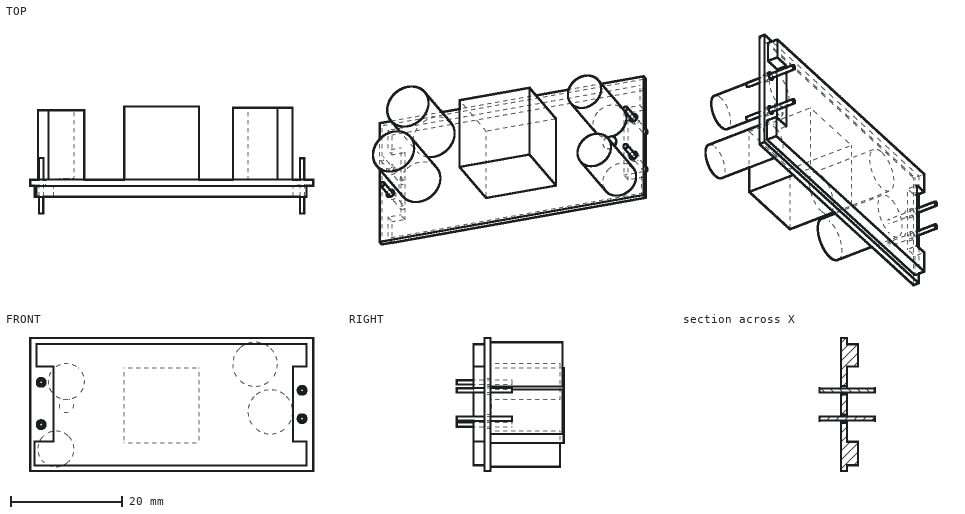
import cadquery as cq

board_length = 51.0
board_height = 24.0
board_thickness = 1.1

block_depth = 2.0
block_top = 10.85
block_bottom = -10.95
block_right = 24.3
block_left_upper = -24.4
block_left_lower = -24.7
notch_top = 6.85
notch_bottom = -6.7
notch_left = -21.3
notch_right = 21.85

transformer_side = 13.5
transformer_height = 13.15
transformer_x = -1.85
transformer_z = -0.2

small_diameter = 6.5
small_height = 12.5
large_diameter = 8.0
large_height = 12.95
capacitors = [
    (-18.95, 4.15, small_diameter, small_height),
    (-20.85, -8.0, small_diameter, small_height),
    (15.0, 7.25, large_diameter, large_height),
    (17.75, -1.35, large_diameter, large_height),
]

pad_diameter = 2.55
pad_height = 0.15
pad_x = -18.95
pad_z = -0.2

pin_diameter = 0.8
pin_length = 10.0
pin_protrusion = 3.0
pin_reach = block_depth + pin_protrusion
pin_hole_diameter = 1.5
pin_places = [(-23.5, 4.0), (-23.5, -3.6), (23.45, 2.55), (23.45, -2.55)]


def cylinder_along_y(x, z, diameter, y_start, length):
    """Round bar that runs from y_start toward +Y."""
    axis_start = cq.Vector(x, y_start, z)
    return cq.Workplane(cq.Solid.makeCylinder(diameter / 2, length, axis_start, cq.Vector(0, 1, 0)))


def make_board():
    """Plain plate from Y = 0 to its back face."""
    return cq.Workplane("XY").box(
        board_length, board_thickness, board_height, centered=(True, False, True)
    )


def make_block():
    """Potting block with both end notches, extruded toward -Y."""
    outline = [
        (block_left_upper, block_top),
        (block_right, block_top),
        (block_right, notch_top),
        (notch_right, notch_top),
        (notch_right, notch_bottom),
        (block_right, notch_bottom),
        (block_right, block_bottom),
        (block_left_lower, block_bottom),
        (block_left_lower, notch_bottom),
        (notch_left, notch_bottom),
        (notch_left, notch_top),
        (block_left_upper, notch_top),
    ]
    return cq.Workplane("XZ").polyline(outline).close().extrude(block_depth)


def make_transformer():
    """Square box standing on the back of the board."""
    return (
        cq.Workplane("XY")
        .box(transformer_side, transformer_height, transformer_side, centered=(True, False, True))
        .translate((transformer_x, board_thickness, transformer_z))
    )


def make_module():
    """Board, block, transformer, capacitors and pad as one solid, with the pin holes."""
    module = make_board().union(make_block()).union(make_transformer())
    for x, z, diameter, height in capacitors:
        module = module.union(cylinder_along_y(x, z, diameter, board_thickness, height))
    module = module.union(cylinder_along_y(pad_x, pad_z, pad_diameter, board_thickness, pad_height))
    for x, z in pin_places:
        module = module.cut(cylinder_along_y(x, z, pin_hole_diameter, 0, board_thickness))
    return module


def make_pin(x, z):
    """Straight pin standing in its clearance hole."""
    return cylinder_along_y(x, z, pin_diameter, -pin_reach, pin_length)


module = make_module()
pins = [make_pin(x, z) for x, z in pin_places]

result = cq.Compound.makeCompound([module.val(), *[pin.val() for pin in pins]])